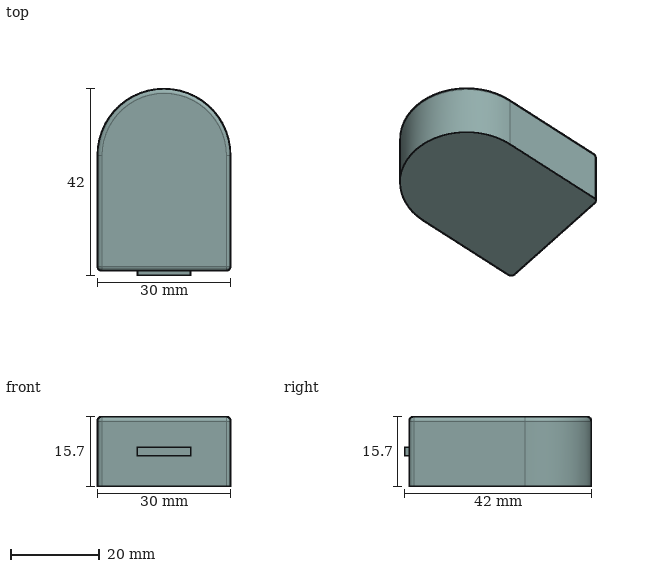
import cadquery as cq

body_width = 30.0
body_height = 15.7
end_radius = body_width / 2
straight_length = 26.0
edge_radius = 1.0

tab_width = 12.0
tab_height = 2.0
tab_length = 1.0
tab_center_z = body_height / 2


def make_body():
    """Half-round-ended block, rounded on its top rim and two front corners."""
    half_width = body_width / 2
    body = (
        cq.Workplane("XY")
        .moveTo(-half_width, 0)
        .lineTo(half_width, 0)
        .lineTo(half_width, straight_length)
        .threePointArc((0, straight_length + end_radius), (-half_width, straight_length))
        .close()
        .extrude(body_height)
    )
    front_corners = body.faces("<Y").edges("|Z")
    top_rim = body.faces(">Z").edges()
    return body.newObject(front_corners.vals() + top_rim.vals()).fillet(edge_radius)


def make_tab():
    """Rectangular tab standing out of the front face, sunk into the body to join it."""
    overlap = edge_radius
    return (
        cq.Workplane("XY")
        .box(tab_width, tab_length + overlap, tab_height, centered=(True, False, True))
        .translate((0, -tab_length, tab_center_z))
    )


result = make_body().union(make_tab())